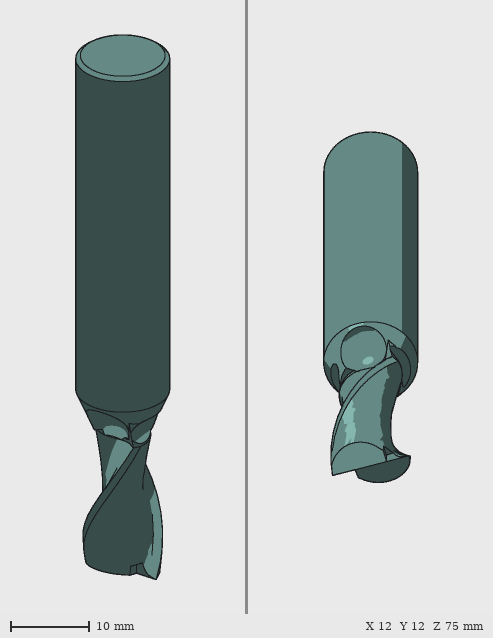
import cadquery as cq

total_length = 75.0
shank_radius = 6.0
shank_chamfer_height = 0.45
shank_chamfer_width = 0.6
shank_bottom_z = 26.25
cutter_length = 20.4

cutter_twist = 139.0
tip_radius = 5.1

cutting_edge = (tip_radius, 0.0)
margin_end = (4.9, 1.05)
land_middle = (2.3, 3.1)
heel = (-1.2, 2.3)
flute_shoulder = (-2.2, 1.4)
flute_hollow = (-3.0, 0.6)
rake_start = (-3.9, 0.15)
section_half = [cutting_edge, margin_end, land_middle, heel, flute_shoulder, flute_hollow, rake_start]

neck_twist = -10.0
flare_root_radius = 3.8
flare_root_z = 21.0
flare_seam_angle = 45.0

runout_radius = 3.75
runout_offset_x = 0.2
runout_offset_y = 5.6
runout_z = 22.0

land_groove_radius = 1.9
land_groove_offset_x = 5.5
land_groove_z = 22.3

point_relief_height = 1.2
point_relief_width = 4.5
relief_depth = 0.75
gash_start_x = 2.1
gash_height = 2.1
gash_roof_drop = 0.45


def full_turn_pair(points):
    """Add the copy of the points turned half a turn about the axis."""
    return points + [(-x, -y) for x, y in points]


def section_wire(points, plane):
    """Closed outline with two margins, two curved lands and two curved flutes."""
    half = len(points) // 2
    outline = cq.Workplane(plane).moveTo(*points[0])
    for start in (0, half):
        tip, margin, land, back, shoulder, hollow, rake = points[start:start + half]
        next_tip = points[(start + half) % len(points)]
        outline = outline.lineTo(*margin)
        outline = outline.threePointArc(land, back)
        outline = outline.lineTo(*shoulder)
        outline = outline.threePointArc(hollow, rake)
        outline = outline.lineTo(*next_tip)
    return outline.wire()


def make_cutter():
    """Twisted two-flute blade with a relieved point and a gash in front of each edge."""
    blade = section_wire(full_turn_pair(section_half), "XY").twistExtrude(cutter_length, cutter_twist)
    span = 2 * shank_radius
    relief_at_span = span * point_relief_height / point_relief_width
    relief = (
        cq.Workplane("YZ")
        .polyline([
            (0, 0),
            (span, relief_at_span),
            (span, -relief_depth),
            (-span, -relief_depth),
            (-span, relief_at_span),
        ])
        .close()
        .extrude(span, both=True)
    )
    gash = (
        cq.Workplane("XZ")
        .polyline([
            (gash_start_x, 0),
            (span, 0),
            (span, gash_height),
            (tip_radius, gash_height),
            (gash_start_x, gash_height - gash_roof_drop),
        ])
        .close()
        .extrude(span)
    )
    blade = blade.cut(relief)
    for angle in (0, 180):
        blade = blade.cut(gash.rotate((0, 0, 0), (0, 0, 1), angle))
    return blade


def make_neck():
    """Fluted stem widening to the shank, with two flute runouts and two land grooves."""
    stem = (
        section_wire(full_turn_pair(section_half), "XY")
        .twistExtrude(shank_bottom_z - cutter_length, neck_twist)
        .rotate((0, 0, 0), (0, 0, 1), cutter_twist)
        .translate((0, 0, cutter_length))
    )
    profile = [
        (0, shank_bottom_z),
        (shank_radius, shank_bottom_z),
        (flare_root_radius, flare_root_z),
        (0, flare_root_z),
    ]
    flare = cq.Workplane("XZ").polyline(profile).close().revolve(360, (0, 0), (0, 1))
    flare = flare.rotate((0, 0, 0), (0, 0, 1), flare_seam_angle)
    runout = cq.Workplane("XY").sphere(runout_radius).translate((runout_offset_x, -runout_offset_y, runout_z))
    land_groove = (
        cq.Workplane("XZ")
        .center(land_groove_offset_x, land_groove_z)
        .circle(land_groove_radius)
        .extrude(shank_radius, both=True)
    )
    for angle in (0, 180):
        for cutting_shape in (land_groove, runout):
            placed_shape = cutting_shape.rotate((0, 0, 0), (0, 0, 1), angle)
            stem = stem.cut(placed_shape)
            flare = flare.cut(placed_shape)
    return stem.union(flare)


def make_shank():
    """Round shank, chamfered on top, joined to the fluted neck."""
    bar = (
        cq.Workplane("XY", origin=(0, 0, shank_bottom_z))
        .circle(shank_radius)
        .extrude(total_length - shank_bottom_z)
        .faces(">Z")
        .chamfer(shank_chamfer_height, shank_chamfer_width)
    )
    return bar.union(make_neck())


shank = make_shank()
cutter = make_cutter()

result = cq.Compound.makeCompound([shank.val(), cutter.val()])